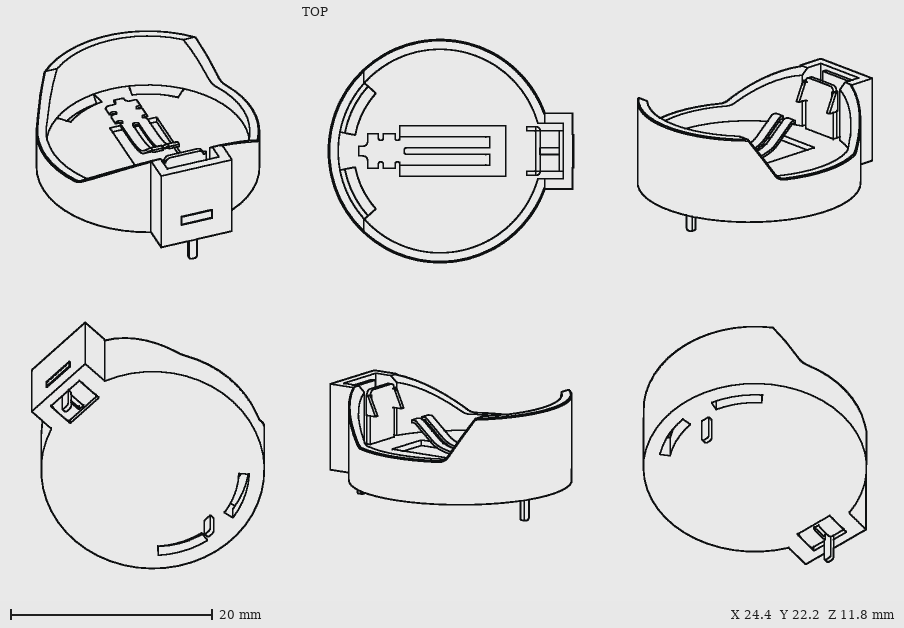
import cadquery as cq
import math


OUTER_R = 11.1
INNER_R = 10.13
WALL_TOP = 8.75
FLOOR_TOP = 2.75
RIM_CHAMFER = 0.12

LOW_RIM_Z = 4.42
LEFT_SLOPE_FOOT_X = -5.05
LEFT_SLOPE_ANGLE = 60
RIGHT_SLOPE_FOOT_X = 5.45
RIM_BEND_R = 1.0
RIM_BLANK_TOP = WALL_TOP + 0.25

BLOCK_HALF_Y = 3.78
BLOCK_END_X = 13.2
BLOCK_START_X = math.sqrt(OUTER_R**2 - BLOCK_HALF_Y**2)
POCKET_HALF_Y = 2.75
POCKET_END_X = 12.27

MARK_HEIGHT = 0.1
MARK_WIDTH = 3.3
MARK_BOTTOM_Z = 2.25
MARK_TOP_Z = 3.22

SLOT_INNER_R = 8.6
SLOT_OUTER_R = 9.61
SLOT_SLOPE_DEPTH = 0.85
SLOT_START_ANGLE = 10.8
SLOT_END_ANGLE = 42.0

RECESS_START_X = -4.0
RECESS_END_X = 6.55
RECESS_WIDTH = 5.0
RECESS_DEPTH = 0.55

SPRING_T = 0.27
SPRING_TOP = FLOOR_TOP + SPRING_T
SPRING_WIDTH = 2.8
PLATE_START_X = -7.2
PLATE_END_X = -3.56
TAB_BEND_R = 0.32
TAB_REACH = SPRING_WIDTH / 2 + TAB_BEND_R
NOTCH_WIDTH = 0.46
NOTCH_CENTRES_X = (-5.88, RECESS_START_X - NOTCH_WIDTH / 2)
NOTCH_END_Y = 1.07
NOTCH_CORNER_R = 0.2
NECK_WIDTH = 0.98
NECK_START_X = -8.1
NECK_CORNER_R = 0.45

FINGER_GAP = 0.63
FINGER_GAP_CORNER_R = 0.25
FINGER_CURVE_END_X = 2.37
FINGER_ANGLE = 40.7
FINGER_BEND_X = 4.45
FINGER_BEND_R = 0.3
FINGER_TIP_X = 4.93
FINGER_TIP_TOP = 5.73

PIN_WIDTH = 0.85
PIN_TIP_R = 0.3
SPRING_PIN_T = 0.46
SPRING_PIN_END_Z = -3.05
CLIP_PIN_END_Z = -2.98

CLIP_T = 0.427
CLIP_WIDTH = 4.05
CLIP_START_X = 9.55
CLIP_TOP = 8.25
CLIP_INNER_R = 0.46
CLIP_CORNER_R = 0.51
CLIP_SLIT_WIDTH = 0.63
EAR_T = 0.4
EAR_INNER_R = 0.2
EAR_TIP_X = 8.64
EAR_BOTTOM = 5.75
EAR_TOP = CLIP_TOP - CLIP_CORNER_R


def box_between(x_range, y_range, z_range):
    """Box spanning the given (low, high) ranges."""
    sizes = [high - low for low, high in (x_range, y_range, z_range)]
    corner = (x_range[0], y_range[0], z_range[0])
    return cq.Workplane("XY").box(*sizes, centered=False).translate(corner)


def make_pin(start_x, thickness, bottom_z, top_z):
    """Flat solder pin with a rounded lower end."""
    pin = box_between((start_x, start_x + thickness), (-PIN_WIDTH / 2, PIN_WIDTH / 2), (bottom_z, top_z))
    return pin.edges("<Z and |X").fillet(PIN_TIP_R)



def make_rim_opening():
    """Prism that lowers the middle of the rim; its two slopes run on to RIM_BLANK_TOP."""
    rise = RIM_BLANK_TOP - LOW_RIM_Z
    right_slope_run = (BLOCK_START_X - RIGHT_SLOPE_FOOT_X) / (WALL_TOP - LOW_RIM_Z)
    outline = (
        cq.Workplane("XZ")
        .moveTo(LEFT_SLOPE_FOOT_X - rise / math.tan(math.radians(LEFT_SLOPE_ANGLE)), RIM_BLANK_TOP)
        .lineTo(LEFT_SLOPE_FOOT_X, LOW_RIM_Z)
        .lineTo(RIGHT_SLOPE_FOOT_X, LOW_RIM_Z)
        .lineTo(RIGHT_SLOPE_FOOT_X + rise * right_slope_run, RIM_BLANK_TOP)
        .close()
    )
    opening = outline.extrude(OUTER_R + 0.25, both=True)
    return opening.edges("|Y and <Z").fillet(RIM_BEND_R)


def make_round_blank():
    """Solid cylinder with the lowered rim, chamfered along the top and along the lowered stretch."""
    full_height = cq.Workplane("XY").circle(OUTER_R).extrude(WALL_TOP).faces(">Z").chamfer(RIM_CHAMFER)
    lowered = cq.Workplane("XY").circle(OUTER_R).extrude(RIM_BLANK_TOP).cut(make_rim_opening())
    lowered = lowered.edges("not (|Z or <Z)").chamfer(RIM_CHAMFER)
    return full_height.intersect(lowered)


def make_floor_slots():
    """The two arc slots, mirrored about the XZ plane."""
    sweep = SLOT_END_ANGLE - SLOT_START_ANGLE
    slot = (
        cq.Workplane("XZ")
        .moveTo(-SLOT_INNER_R, 0)
        .lineTo(-SLOT_OUTER_R, 0)
        .lineTo(-SLOT_OUTER_R, FLOOR_TOP - SLOT_SLOPE_DEPTH)
        .lineTo(-INNER_R, FLOOR_TOP)
        .lineTo(-SLOT_INNER_R, FLOOR_TOP)
        .close()
        .revolve(sweep, (0, 0, 0), (0, 1, 0))
    )
    front_slot = slot.rotate((0, 0, 0), (0, 0, 1), SLOT_START_ANGLE)
    return front_slot.union(front_slot.mirror("XZ"))


def make_shell():
    """Round wall and floor, with the block for the clip contact."""
    block = box_between((BLOCK_START_X, BLOCK_END_X), (-BLOCK_HALF_Y, BLOCK_HALF_Y), (0, WALL_TOP))
    mark = box_between(
        (BLOCK_END_X, BLOCK_END_X + MARK_HEIGHT),
        (-MARK_WIDTH / 2, MARK_WIDTH / 2),
        (MARK_BOTTOM_Z, MARK_TOP_Z),
    )
    cavity = cq.Workplane("XY", origin=(0, 0, FLOOR_TOP)).circle(INNER_R).extrude(WALL_TOP)
    pocket = box_between((0, POCKET_END_X), (-POCKET_HALF_Y, POCKET_HALF_Y), (FLOOR_TOP, WALL_TOP))
    clip_opening = box_between((CLIP_START_X, POCKET_END_X), (-CLIP_WIDTH / 2, CLIP_WIDTH / 2), (0, FLOOR_TOP))
    recess = box_between(
        (RECESS_START_X, RECESS_END_X),
        (-RECESS_WIDTH / 2, RECESS_WIDTH / 2),
        (FLOOR_TOP - RECESS_DEPTH, FLOOR_TOP),
    )
    shell = make_round_blank().union(block).union(mark)
    return shell.cut(cavity).cut(pocket).cut(clip_opening).cut(recess).cut(make_floor_slots())


def make_spring_plate():
    """Plate on the floor, with side tabs and a neck that curve down into it."""
    tab_z = (SPRING_TOP - 2 * TAB_BEND_R, SPRING_TOP)
    tabs = box_between((PLATE_START_X, RECESS_START_X), (-TAB_REACH, TAB_REACH), tab_z)
    tabs = tabs.edges("|X and >Z").fillet(TAB_BEND_R)
    neck = box_between((NECK_START_X, PLATE_START_X), (-NECK_WIDTH / 2, NECK_WIDTH / 2), tab_z)
    neck = neck.edges("|Y and >Z and <X").fillet(TAB_BEND_R)
    plate = tabs.union(neck)
    for side in (-1, 1):
        neck_corner = (PLATE_START_X, side * NECK_WIDTH / 2, FLOOR_TOP)
        plate = plate.edges(cq.selectors.NearestToPointSelector(neck_corner)).fillet(NECK_CORNER_R)
        for centre_x in NOTCH_CENTRES_X:
            plate = plate.cut(make_notch(centre_x, side))
    end_strip = box_between(
        (RECESS_START_X, PLATE_END_X), (-SPRING_WIDTH / 2, SPRING_WIDTH / 2), (FLOOR_TOP, SPRING_TOP)
    )
    return plate.union(end_strip)


def make_notch(centre_x, side):
    """Round-ended cutter for a notch between the tabs; side is -1 or 1 along Y."""
    notch = box_between(
        (centre_x - NOTCH_WIDTH / 2, centre_x + NOTCH_WIDTH / 2),
        (NOTCH_END_Y, TAB_REACH + 0.25),
        (0, WALL_TOP),
    )
    notch = notch.edges("|Z and <Y").fillet(NOTCH_CORNER_R)
    return notch if side > 0 else notch.mirror("XZ")


def make_fingers():
    """Two spring fingers that curve up from the plate and end in a flat tip."""
    angle = math.radians(FINGER_ANGLE)
    curve_end_z = FINGER_TIP_TOP - (FINGER_BEND_X - FINGER_CURVE_END_X) * math.tan(angle)
    top_tangents = [(1, 0), (math.cos(angle), math.sin(angle))]
    bottom_tangents = [(-math.cos(angle), -math.sin(angle)), (-1, 0)]
    underside_end = (FINGER_CURVE_END_X + SPRING_T * math.sin(angle), curve_end_z - SPRING_T * math.cos(angle))
    fingers = (
        cq.Workplane("XZ")
        .moveTo(PLATE_END_X, SPRING_TOP)
        .spline([(FINGER_CURVE_END_X, curve_end_z)], tangents=top_tangents, includeCurrent=True)
        .lineTo(FINGER_BEND_X, FINGER_TIP_TOP)
        .lineTo(FINGER_TIP_X, FINGER_TIP_TOP)
        .lineTo(FINGER_TIP_X, FINGER_TIP_TOP - SPRING_T)
        .lineTo(FINGER_BEND_X + SPRING_T * math.tan(angle / 2), FINGER_TIP_TOP - SPRING_T)
        .lineTo(*underside_end)
        .spline([(PLATE_END_X, FLOOR_TOP)], tangents=bottom_tangents, includeCurrent=True)
        .close()
        .extrude(SPRING_WIDTH / 2, both=True)
    )
    bend_edge = cq.selectors.NearestToPointSelector((FINGER_BEND_X, 0, FINGER_TIP_TOP))
    fingers = fingers.edges(bend_edge).fillet(FINGER_BEND_R)
    gap = box_between(
        (PLATE_END_X, FINGER_TIP_X), (-FINGER_GAP / 2, FINGER_GAP / 2), (FLOOR_TOP - 0.25, WALL_TOP)
    )
    return fingers.cut(gap.edges("|Z and <X").fillet(FINGER_GAP_CORNER_R))


def make_housing():
    """Shell with the spring contact and its pin moulded in as one solid."""
    pin = make_pin(NECK_START_X, SPRING_PIN_T, SPRING_PIN_END_Z, FLOOR_TOP - TAB_BEND_R)
    return make_shell().union(make_spring_plate()).union(make_fingers()).union(pin)



def make_ear(side):
    """Triangular side ear, joined to the front leg by a rounded bend; side is -1 or 1 along Y."""
    leg_edge_y = CLIP_WIDTH / 2
    ear = (
        cq.Workplane("XZ", origin=(0, leg_edge_y, 0))
        .polyline([(EAR_TIP_X, EAR_BOTTOM), (CLIP_START_X, EAR_BOTTOM), (CLIP_START_X, EAR_TOP)])
        .close()
        .extrude(-EAR_T)
    )
    bend = (
        cq.Workplane("XY", origin=(CLIP_START_X, leg_edge_y, EAR_BOTTOM))
        .lineTo(CLIP_T, 0)
        .threePointArc((CLIP_T * math.sqrt(0.5), EAR_T * math.sqrt(0.5)), (0, EAR_T))
        .close()
        .extrude(EAR_TOP - EAR_BOTTOM)
    )
    inner_arc_mid = EAR_INNER_R * (math.sqrt(0.5) - 1)
    inner_fillet = (
        cq.Workplane("XY", origin=(CLIP_START_X, leg_edge_y, EAR_BOTTOM))
        .lineTo(-EAR_INNER_R, 0)
        .threePointArc((inner_arc_mid, inner_arc_mid), (0, -EAR_INNER_R))
        .close()
        .extrude(EAR_TOP - EAR_BOTTOM)
    )
    ear = ear.union(bend).union(inner_fillet)
    return ear if side > 0 else ear.mirror("XZ")


def make_clip_contact():
    """U-shaped strip with two ears on its front leg and a pin below its rear leg."""
    half_width = CLIP_WIDTH / 2
    strip = box_between((CLIP_START_X, POCKET_END_X), (-half_width, half_width), (0, CLIP_TOP))
    strip = strip.edges("|Y and <Z").fillet(CLIP_INNER_R + CLIP_T)
    inner_x = (CLIP_START_X + CLIP_T, POCKET_END_X - CLIP_T)
    hollow = box_between(inner_x, (-half_width, half_width), (CLIP_T, CLIP_TOP))
    strip = strip.cut(hollow.edges("|Y and <Z").fillet(CLIP_INNER_R))
    for side in (-1, 1):
        top_corner = (CLIP_START_X + CLIP_T / 2, side * half_width, CLIP_TOP)
        strip = strip.edges(cq.selectors.NearestToPointSelector(top_corner)).fillet(CLIP_CORNER_R)
    slit = box_between(inner_x, (-CLIP_SLIT_WIDTH / 2, CLIP_SLIT_WIDTH / 2), (0, CLIP_T + CLIP_INNER_R))
    strip = strip.cut(slit)
    pin = make_pin(POCKET_END_X - CLIP_T, CLIP_T, CLIP_PIN_END_Z, CLIP_T + CLIP_INNER_R)
    return strip.union(pin).union(make_ear(-1)).union(make_ear(1))


housing = make_housing()
clip_contact = make_clip_contact()

result = cq.Compound.makeCompound([housing.val(), clip_contact.val()])